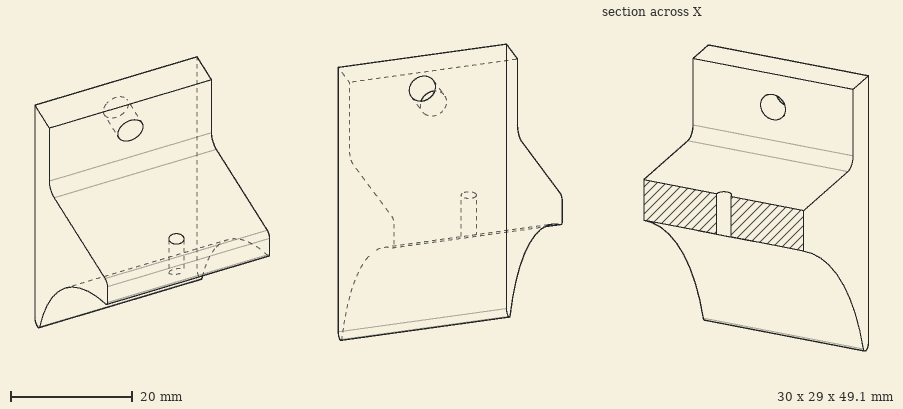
import cadquery as cq
import math

reach = 30.0
width = 29.0
height = 49.1

wall_thickness = 6.0
shelf_drop = 14.0
shelf_top = height - shelf_drop
inner_radius = 2.0
edge_radius = 1.0

toe_width = 1.8
tip_height = 29.85
arc_radius = 44.7

wall_hole_diameter = 4.5
wall_hole_drop = 6.0
shelf_hole_diameter = 2.5
shelf_hole_x = 25.0


def arc_midpoint(start, end, radius):
    """Middle of the shorter arc that bulges to the left of start -> end."""
    dx = end[0] - start[0]
    dz = end[1] - start[1]
    chord = math.hypot(dx, dz)
    bulge = radius - math.sqrt(radius**2 - (chord / 2) ** 2)
    mid_x = (start[0] + end[0]) / 2 - bulge * dz / chord
    mid_z = (start[1] + end[1]) / 2 + bulge * dx / chord
    return (mid_x, mid_z)


def bracket_body():
    """Extruded side profile with its inner corner and outer edges rounded."""
    toe = (toe_width, 0)
    tip = (reach, tip_height)
    body = (
        cq.Workplane("XZ")
        .moveTo(0, 0)
        .lineTo(*toe)
        .threePointArc(arc_midpoint(toe, tip, arc_radius), tip)
        .lineTo(reach, shelf_top)
        .lineTo(wall_thickness, shelf_top)
        .lineTo(wall_thickness, height)
        .lineTo(0, height)
        .close()
        .extrude(width / 2, both=True)
    )
    inner_corner = cq.selectors.NearestToPointSelector((wall_thickness, 0, shelf_top))
    body = body.edges(inner_corner).fillet(inner_radius)
    body = body.faces("<Z").edges("|Y").fillet(edge_radius)
    return body.faces(">X").edges("|Y").fillet(edge_radius)


def wall_hole():
    """Cylinder along X through the upper wall."""
    return (
        cq.Workplane("YZ")
        .center(0, height - wall_hole_drop)
        .circle(wall_hole_diameter / 2)
        .extrude(wall_thickness)
    )


def shelf_hole():
    """Cylinder along Z through the shelf."""
    return (
        cq.Workplane("XY")
        .center(shelf_hole_x, 0)
        .circle(shelf_hole_diameter / 2)
        .extrude(shelf_top)
    )


result = bracket_body().cut(wall_hole()).cut(shelf_hole())